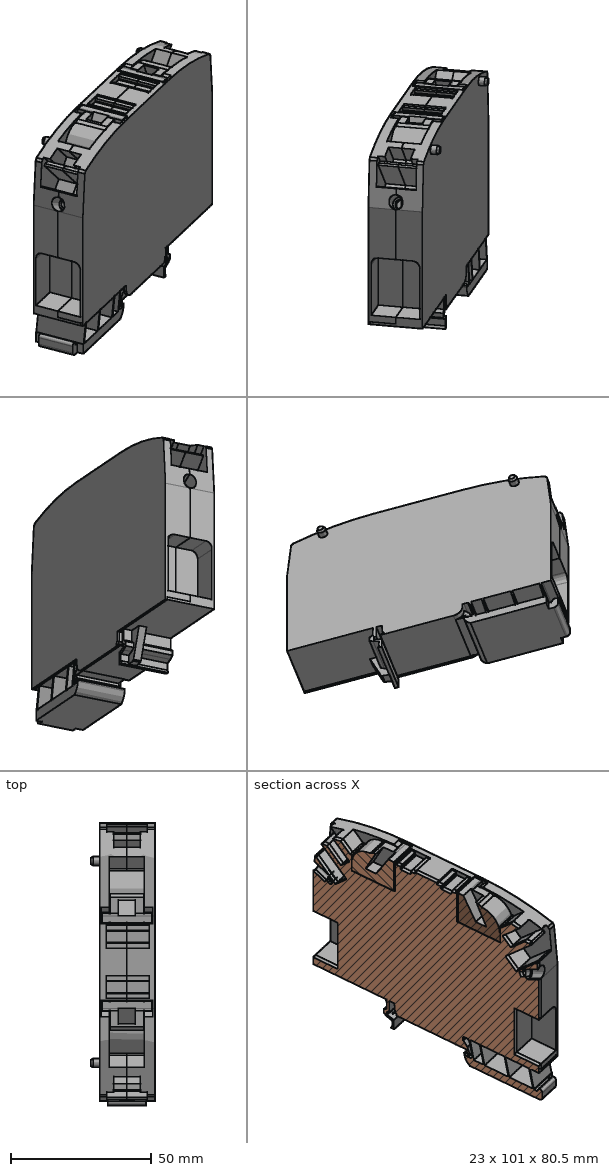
import cadquery as cq
import math


left_face_x = -9.8
right_face_x = 10.1
half_length = 49.7
shell_bottom_z = 12.5
shoulder_z = 57.1
top_z = 80.5
flat_top_half = 16.5
crown_end_y = 47.5
crown_end_z = 75.4
corner_y = 48.2
corner_z = 74.4
crown_run = crown_end_y - flat_top_half
crown_fall = top_z - crown_end_z
crown_radius = (crown_run**2 + crown_fall**2) / (2 * crown_fall)

split_step_z = 13.5
lower_split_x = 9.3

pit_half_width = 6.3
lever_gap = 0.3
arm_half_width = pit_half_width - lever_gap
bar_slot_half_length = 9.2
bar_half_length = bar_slot_half_length - lever_gap
pit_inner_y = 13.7
bar_inner_y = pit_inner_y + lever_gap
bar_outer_y = 17.4
bar_slot_outer_y = bar_outer_y + lever_gap
bar_depth = 3.0
notch_outer_y = 19.6
notch_drop = 1.2
arm_recess = 0.2
arm_outer_y = 23.1
knuckle_radius = 8.1
knuckle_center_y = 24.4
knuckle_top_z = 79.2
knuckle_center_z = knuckle_top_z - knuckle_radius
knuckle_outer_y = knuckle_center_y + knuckle_radius
pit_bottom_z = 66.6
pit_ledge_y = 33.3
pit_ledge_z = 74.0
ramp_outer_y = 37.8
ramp_top_z = pit_ledge_z + ramp_outer_y - pit_ledge_y
window_half_width = 3.0
window_inner_y = 16.6
window_outer_y = 22.0
window_depth = 9.7
window_undercut = 4.4

recess_center_x = 0.2
recess_width = 15.3
recess_inner_y = 4.8
recess_outer_y = 13.0
trough_inner_y = 6.7
trough_outer_y = 11.3
trough_bevel = 0.3
recess_depth = 0.7
trough_depth = 2.0

wide_channel_half_width = 7.3
narrow_channel_half_width = 4.7
lip_z = 64.8
lip_inner_y = 48.3
wide_roof_y = 46.6
wide_roof_z = 75.8
bar_flat_z = 72.7
bar_flat_outer_y = 45.5
bar_bevel = 0.6
channel_depth = 8.5
narrow_roof_y = 41.1
narrow_roof_z = 77.4
narrow_channel_drop = 7.3
cutter_margin = 2.0

entry_center_x = 0.1
entry_width = 17.9
entry_bottom_z = 16.1
entry_top_z = 38.1
entry_corner_radius = 2.6
entry_depth = 10.7
access_hole_z = 59.9
access_hole_radius = 2.5
access_hole_depth = 6.6
access_bore_radius = 1.7
access_bore_depth = 8.9
access_hole_slope = math.radians(27)

tongue_bottom_z = 7.1
tongue_arc_radius = 3.3
tongue_end_y = 16.3
nose_left_x = -7.8
rib_left_x = 3.0
rib_right_x = 6.1
foot_top_z = 3.9
foot_end_y = -47.9
strut_width = 0.7
strut_slant = 1.7
strut_top_ys = (-23.5, -34.4, -45.2)
foot_lip_half_width = 6.9
lip_top_z = 5.3
lip_top_round = 1.0
lip_round = 1.6
root_radius = 0.6
foot_tip_y = half_length - 101.0

pin_radius = 1.6
pin_length = 3.1
pin_tip_radius = 1.1
pin_tip_length = 0.9
pin_seat_depth = 2.0
pin_y = 36.0
pin_z = 75.9


def crown_z(y, sink=0.0):
    """Height of the crown arc at distance y from the middle, lowered radially by sink."""
    radius = crown_radius - sink
    return top_z - crown_radius + math.sqrt(radius**2 - (y - flat_top_half)**2)


def outline(points):
    """Closed straight-sided outline in the YZ plane."""
    return cq.Workplane("YZ").polyline(points).close()


def span(sketch, x_start, x_end):
    """Extrude a YZ outline between two X positions."""
    return sketch.extrude(x_end - x_start).translate((x_start, 0, 0))


def centered(sketch, half_width):
    """Extrude a YZ outline equally to both sides of X = 0."""
    return span(sketch, -half_width, half_width)


def at_end(points):
    """Turn (distance from the middle, Z) points into YZ points at the -Y end."""
    return [(-distance, z) for distance, z in points]


def other_end(shape):
    return shape.mirror("XZ")


def make_shell():
    crown_mid_y = (flat_top_half + crown_end_y) / 2
    crown_mid_z = crown_z(crown_mid_y)
    profile = (
        cq.Workplane("YZ")
        .moveTo(-half_length, shell_bottom_z)
        .lineTo(half_length, shell_bottom_z)
        .lineTo(half_length, shoulder_z)
        .lineTo(corner_y, corner_z)
        .lineTo(crown_end_y, crown_end_z)
        .threePointArc((crown_mid_y, crown_mid_z), (flat_top_half, top_z))
        .lineTo(-flat_top_half, top_z)
        .threePointArc((-crown_mid_y, crown_mid_z), (-crown_end_y, crown_end_z))
        .lineTo(-corner_y, corner_z)
        .lineTo(-half_length, shoulder_z)
        .close()
    )
    return span(profile, left_face_x, right_face_x)


def lever_pit():
    above = top_z + cutter_margin
    pit = at_end([
        (pit_inner_y, above),
        (pit_inner_y, pit_bottom_z),
        (knuckle_outer_y, pit_bottom_z),
        (knuckle_outer_y, pit_ledge_z),
        (pit_ledge_y, pit_ledge_z),
        (ramp_outer_y, ramp_top_z),
        (ramp_outer_y, above),
    ])
    bar_slot = at_end([
        (pit_inner_y, above),
        (pit_inner_y, top_z - bar_depth),
        (bar_slot_outer_y, top_z - bar_depth),
        (bar_slot_outer_y, crown_z(notch_outer_y) - notch_drop),
        (notch_outer_y, crown_z(notch_outer_y)),
        (notch_outer_y, above),
    ])
    return centered(outline(pit), pit_half_width).union(centered(outline(bar_slot), bar_slot_half_length))


def top_recess():
    above = top_z + cutter_margin
    ledge_z = top_z - recess_depth
    trough_z = top_z - trough_depth
    profile = at_end([
        (recess_inner_y, above),
        (recess_inner_y, ledge_z),
        (trough_inner_y, ledge_z),
        (trough_inner_y, trough_z + trough_bevel),
        (trough_inner_y + trough_bevel, trough_z),
        (trough_outer_y - trough_bevel, trough_z),
        (trough_outer_y, trough_z + trough_bevel),
        (trough_outer_y, ledge_z),
        (recess_outer_y, ledge_z),
        (recess_outer_y, above),
    ])
    return centered(outline(profile), recess_width / 2).translate((recess_center_x, 0, 0))


def wide_marker_channel():
    above = top_z + cutter_margin
    outside = half_length + cutter_margin
    roof_drop = wide_roof_z - bar_flat_z
    bevel_y = bar_flat_outer_y + bar_bevel
    bevel_z = bar_flat_z - bar_bevel
    back_y = lip_inner_y - channel_depth
    back_z = lip_z - channel_depth
    back_rise = ((bevel_z - bevel_y) - (lip_z - lip_inner_y)) / 2
    return centered(outline(at_end([
        (wide_roof_y, above),
        (wide_roof_y, wide_roof_z),
        (wide_roof_y - roof_drop, bar_flat_z),
        (bar_flat_outer_y, bar_flat_z),
        (bevel_y, bevel_z),
        (back_y - back_rise, back_z + back_rise),
        (back_y, back_z),
        (lip_inner_y, lip_z),
        (outside, lip_z),
        (outside, above),
    ])), wide_channel_half_width)


def narrow_marker_channel():
    above = top_z + cutter_margin
    partition_y = wide_roof_y - (wide_roof_z - bar_flat_z)
    roof_end_y = narrow_roof_y - narrow_channel_drop
    roof_end_z = narrow_roof_z - narrow_channel_drop
    back_fall = ((narrow_roof_z - narrow_roof_y) - (bar_flat_z - partition_y)) / 2
    return centered(outline(at_end([
        (narrow_roof_y, above),
        (narrow_roof_y, narrow_roof_z),
        (roof_end_y, roof_end_z),
        (roof_end_y + back_fall, roof_end_z - back_fall),
        (partition_y, bar_flat_z),
        (wide_roof_y, bar_flat_z),
        (wide_roof_y, above),
    ])), narrow_channel_half_width)


def cable_entry():
    height = entry_top_z - entry_bottom_z
    return (
        cq.Workplane("XY")
        .box(entry_width, entry_depth, height, centered=(True, False, False))
        .edges("|Y and >Z")
        .fillet(entry_corner_radius)
        .translate((entry_center_x, -half_length, entry_bottom_z))
    )


def access_hole():
    """Stepped round hole running inward and down through the leaning end wall."""
    inward = cq.Vector(0, math.cos(access_hole_slope), -math.sin(access_hole_slope))
    lean = (half_length - corner_y) / (corner_z - shoulder_z)
    mouth = cq.Vector(0, -half_length + lean * (access_hole_z - shoulder_z), access_hole_z)
    start = mouth - inward * cutter_margin
    wide = cq.Solid.makeCylinder(access_hole_radius, access_hole_depth + cutter_margin, start, inward)
    bore = cq.Solid.makeCylinder(access_bore_radius, access_bore_depth + cutter_margin, start, inward)
    return cq.Workplane(wide).union(cq.Workplane(bore))


def root_fillet(y, x_start, x_end):
    """Concave rounding between the underside of the shell and a face at y that looks toward -Y."""
    inset = root_radius * (1 - math.sqrt(0.5))
    profile = (
        cq.Workplane("YZ")
        .moveTo(y + strut_width / 2, shell_bottom_z)
        .lineTo(y - root_radius, shell_bottom_z)
        .threePointArc((y - inset, shell_bottom_z - inset), (y, shell_bottom_z - root_radius))
        .close()
    )
    return span(profile, x_start, x_end)


def make_tongue():
    """Block between the rail edges, with a hooked +Y end and a rounded -Y end."""
    diagonal = tongue_arc_radius * math.sqrt(0.5)
    arc_center_y = -tongue_end_y + tongue_arc_radius
    arc_center_z = tongue_bottom_z + tongue_arc_radius
    profile = (
        cq.Workplane("YZ")
        .moveTo(14.0, shell_bottom_z)
        .lineTo(13.7, 8.9)
        .lineTo(13.0, 7.6)
        .lineTo(14.7, 7.5)
        .lineTo(14.5, tongue_bottom_z)
        .lineTo(arc_center_y, tongue_bottom_z)
        .threePointArc((arc_center_y - diagonal, arc_center_z - diagonal), (-tongue_end_y, arc_center_z))
        .lineTo(-tongue_end_y, shell_bottom_z)
        .close()
    )
    root = root_fillet(-tongue_end_y, left_face_x, right_face_x)
    return span(profile, left_face_x, right_face_x).union(root)


def make_nose():
    """Hooked nose that continues the tongue toward the foot."""
    profile = outline([
        (-13.1, tongue_bottom_z),
        (-17.8, tongue_bottom_z),
        (-17.8, 6.0),
        (-18.7, 4.9),
        (-19.3, 4.9),
        (-19.4, 5.6),
        (-18.4, 8.7),
        (-16.6, 10.9),
        (-13.1, 10.9),
    ])
    return span(profile, nose_left_x, lower_split_x)


def make_rail_clip():
    """Thin bent hook that grips the +Y rail edge, stiffened by a wedge-shaped rib."""
    hook = outline([
        (16.1, shell_bottom_z),
        (16.1, 6.9),
        (17.1, 6.9),
        (17.1, 5.6),
        (14.0, 4.6),
        (14.0, 0),
        (15.4, 0),
        (15.0, 1.1),
        (15.0, 3.7),
        (17.3, 4.5),
        (18.7, 5.6),
        (18.7, 7.3),
        (17.4, 8.3),
        (17.4, shell_bottom_z),
    ])
    rib = outline([
        (22.7, shell_bottom_z),
        (18.6, 1.0),
        (18.1, 0.6),
        (15.3, 0.2),
        (15.0, 1.1),
        (15.0, 3.7),
        (17.3, 4.5),
        (18.7, 5.6),
        (18.7, 7.3),
        (17.4, 8.3),
        (17.4, shell_bottom_z),
    ])
    return span(hook, left_face_x, lower_split_x).union(span(rib, rib_left_x, rib_right_x))


def make_foot():
    """Sliding foot on slanted spring struts, with a catch at one end and a grip lip at the other."""
    beam = (
        cq.Workplane("YZ")
        .moveTo(foot_end_y, 0)
        .lineTo(-19.4, 0)
        .threePointArc((-17.5, 2.1), (-16.8, 4.3))
        .lineTo(-16.7, 4.9)
        .lineTo(-17.6, 5.3)
        .lineTo(-17.3, 4.6)
        .lineTo(-18.0, 4.1)
        .lineTo(-19.8, 4.1)
        .lineTo(-20.3, 5.1)
        .lineTo(-19.1, 11.3)
        .lineTo(-18.4, shell_bottom_z)
        .lineTo(-19.6, shell_bottom_z)
        .lineTo(-21.2, foot_top_z)
        .lineTo(foot_end_y, foot_top_z)
        .close()
    )
    foot = span(beam, left_face_x, lower_split_x)
    for strut_y in strut_top_ys:
        strut = outline([
            (strut_y, shell_bottom_z),
            (strut_y - strut_width, shell_bottom_z),
            (strut_y - strut_width - strut_slant, foot_top_z),
            (strut_y - strut_slant, foot_top_z),
        ])
        foot = foot.union(span(strut, left_face_x, lower_split_x))
    lip_top_inset = lip_top_round * (1 - math.sqrt(0.5))
    lip_round_inset = lip_round * (1 - math.sqrt(0.5))
    lip = (
        cq.Workplane("YZ")
        .moveTo(foot_end_y, 0)
        .lineTo(foot_end_y, foot_top_z)
        .lineTo(-48.8, 3.5)
        .lineTo(-49.8, lip_top_z)
        .lineTo(foot_tip_y + lip_top_round, lip_top_z)
        .threePointArc(
            (foot_tip_y + lip_top_inset, lip_top_z - lip_top_inset),
            (foot_tip_y, lip_top_z - lip_top_round),
        )
        .lineTo(foot_tip_y, lip_round)
        .threePointArc((foot_tip_y + lip_round_inset, lip_round_inset), (foot_tip_y + lip_round, 0))
        .close()
    )
    last_root = root_fillet(strut_top_ys[-1] - strut_width, left_face_x, lower_split_x)
    return foot.union(last_root).union(centered(lip, foot_lip_half_width))


def make_lever():
    """Rocking lever: knuckle, arm with a sloped finger window, and a cross bar at the inner end."""
    diagonal = knuckle_radius * math.sqrt(0.5)
    bar_bottom_z = top_z - bar_depth
    arm_mid_y = (bar_outer_y + arm_outer_y) / 2
    arm = (
        cq.Workplane("YZ")
        .moveTo(-bar_inner_y, pit_bottom_z)
        .lineTo(-bar_inner_y, bar_bottom_z)
        .lineTo(-bar_outer_y, bar_bottom_z)
        .lineTo(-bar_outer_y, crown_z(bar_outer_y, arm_recess))
        .threePointArc(
            (-arm_mid_y, crown_z(arm_mid_y, arm_recess)),
            (-arm_outer_y, crown_z(arm_outer_y, arm_recess)),
        )
        .lineTo(-knuckle_center_y, knuckle_top_z)
        .lineTo(-knuckle_center_y, pit_bottom_z)
        .close()
    )
    knuckle = (
        cq.Workplane("YZ")
        .moveTo(-knuckle_center_y, pit_bottom_z)
        .lineTo(-knuckle_center_y, knuckle_top_z)
        .threePointArc(
            (-knuckle_center_y - diagonal, knuckle_center_z + diagonal),
            (-knuckle_outer_y, knuckle_center_z),
        )
        .lineTo(-knuckle_outer_y, pit_bottom_z)
        .close()
    )
    bar = outline(at_end([
        (bar_inner_y, top_z),
        (flat_top_half, top_z),
        (bar_outer_y, crown_z(bar_outer_y)),
        (bar_outer_y, bar_bottom_z),
        (bar_inner_y, bar_bottom_z),
    ]))
    window = outline(at_end([
        (window_inner_y, top_z),
        (window_outer_y, top_z - window_depth),
        (window_outer_y + window_undercut, top_z - window_depth),
        (window_outer_y, crown_z(window_outer_y, arm_recess)),
        (window_outer_y, top_z),
    ]))
    lever = centered(arm, arm_half_width).union(centered(knuckle, pit_half_width))
    lever = lever.union(centered(bar, bar_half_length))
    return lever.cut(centered(window, window_half_width))


def make_pin(y):
    """Round pin seated in the left wall, with a tapered tip."""
    seat_x = left_face_x + pin_seat_depth
    tip_x = left_face_x - pin_length
    shoulder_x = tip_x + pin_tip_length
    half_section = [
        (seat_x, 0),
        (seat_x, pin_radius),
        (shoulder_x, pin_radius),
        (tip_x, pin_tip_radius),
        (tip_x, 0),
    ]
    pin = cq.Workplane("XY").polyline(half_section).close().revolve(360, (0, 0, 0), (1, 0, 0))
    return pin.translate((0, y, pin_z))


levers = [make_lever(), other_end(make_lever())]
pins = [make_pin(y) for y in (-pin_y, pin_y)]

housing = make_shell().union(make_tongue())
for end_cut in (
    lever_pit(),
    top_recess(),
    wide_marker_channel(),
    narrow_marker_channel(),
    cable_entry(),
    access_hole(),
):
    housing = housing.cut(end_cut).cut(other_end(end_cut))
for pin in pins:
    housing = housing.cut(pin)

right_region = (
    cq.Workplane("XZ")
    .polyline([
        (0, top_z),
        (0, split_step_z),
        (lower_split_x, split_step_z),
        (lower_split_x, 0),
        (right_face_x, 0),
        (right_face_x, top_z),
    ])
    .close()
    .extrude(half_length, both=True)
)
left_housing = housing.cut(right_region).union(make_nose()).union(make_rail_clip()).union(make_foot())
right_housing = housing.intersect(right_region)

result = cq.Compound.makeCompound([
    left_housing.solids().val(),
    right_housing.solids().val(),
    *[lever.solids().val() for lever in levers],
    *[pin.solids().val() for pin in pins],
])